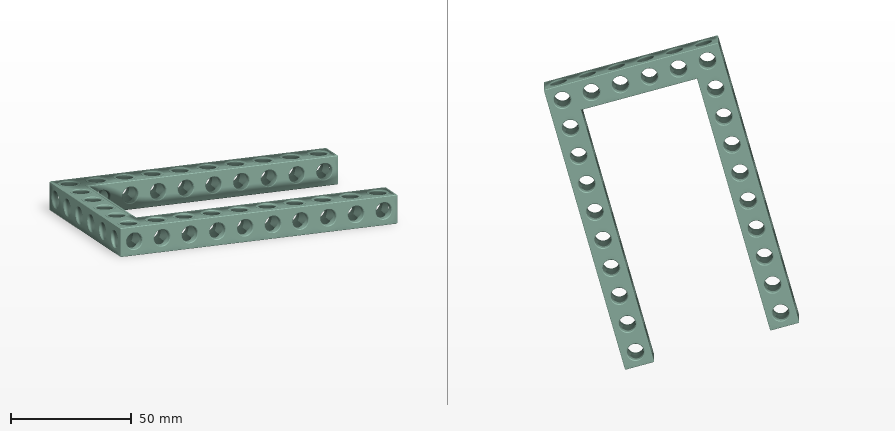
import cadquery as cq

pitch = 12.5
columns = 6
rows = 10
hole_diameter = 7.0
hole_chamfer = 0.31
edge_chamfer = 0.2
rim_width = 1.1
collar_diameter = 9.2
recess_depth = 0.19

width = columns * pitch
length = rows * pitch
height = pitch
beam_center = pitch / 2
hole_radius = hole_diameter / 2

column_centers = [(i + 0.5) * pitch for i in range(columns)]
row_centers = [(i + 0.5) * pitch for i in range(rows)]
leg_centers = [column_centers[0], column_centers[-1]]
leg_starts = [0, width - pitch]

cross_bar_cells = [(x, beam_center) for x in column_centers]
leg_cells = [(x, y) for x in leg_centers for y in row_centers[1:]]
cells = cross_bar_cells + leg_cells


def u_prism(inset, depth):
    """U-shaped plate, open toward +Y, with its outline moved inward by inset."""
    outer_left = inset
    outer_right = width - inset
    inner_left = pitch - inset
    inner_right = width - pitch + inset
    front = inset
    bar_back = pitch - inset
    leg_end = length - inset
    outline = [
        (outer_left, front),
        (outer_right, front),
        (outer_right, leg_end),
        (inner_right, leg_end),
        (inner_right, bar_back),
        (inner_left, bar_back),
        (inner_left, leg_end),
        (outer_left, leg_end),
    ]
    return cq.Workplane("XY").polyline(outline).close().extrude(depth)


def chamfered_hole(start, direction, depth):
    """Cutter for a through hole that is chamfered at both of its mouths."""
    axis = cq.Vector(*direction)
    entry = cq.Vector(*start)
    far_mouth = entry + axis * depth
    mouth_radius = hole_radius + hole_chamfer
    bore = cq.Solid.makeCylinder(hole_radius, depth, entry, axis)
    entry_cone = cq.Solid.makeCone(mouth_radius, hole_radius, hole_chamfer, entry, axis)
    far_cone = cq.Solid.makeCone(mouth_radius, hole_radius, hole_chamfer, far_mouth, axis * -1)
    return bore.fuse(entry_cone, far_cone)


def beam_body():
    """Solid U beam with chamfered edges; the two inner corner edges stay sharp."""
    body = u_prism(0, height)
    inner_corners = [(pitch, pitch), (width - pitch, pitch)]
    body = body.edges("|Z").filter(
        lambda edge: (round(edge.Center().x, 3), round(edge.Center().y, 3)) not in inner_corners
    ).chamfer(edge_chamfer)
    return body.faces("<Z or >Z").edges().chamfer(edge_chamfer)


def top_recess():
    """Cutter that leaves a border and a ring around each hole standing."""
    collars = cq.Workplane("XY").pushPoints(cells).circle(collar_diameter / 2).extrude(recess_depth)
    recess = u_prism(rim_width, recess_depth).cut(collars)
    return recess.translate((0, 0, height - recess_depth))


def hole_cutters():
    """Holes along Z, Y and X through every cell."""
    cutters = [chamfered_hole((x, y, 0), (0, 0, 1), height) for x, y in cells]

    for x in column_centers:
        depth = length if x in leg_centers else pitch
        cutters.append(chamfered_hole((x, 0, beam_center), (0, 1, 0), depth))

    cutters.append(chamfered_hole((0, beam_center, beam_center), (1, 0, 0), width))
    for y in row_centers[1:]:
        for x in leg_starts:
            cutters.append(chamfered_hole((x, y, beam_center), (1, 0, 0), pitch))
    return cutters


result = beam_body().cut(top_recess())
for cutter in hole_cutters():
    result = result.cut(cq.Workplane(cutter))